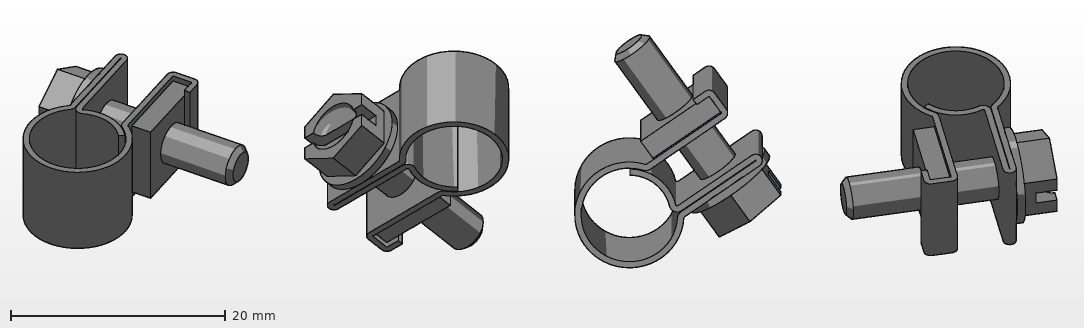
import cadquery as cq
import math


screw_length = 19.62
shank_radius = 2.0
tip_chamfer = 0.53
head_height = 3.2
head_across_flats = 7.02
flange_diameter = 9.0
flange_thickness = 0.78
slot_width = 1.24
slot_depth = 2.0
dish_radius = 2.51
dish_depth = 1.0
dish_floor_fillet = 0.8
bearing_face_x = head_height + flange_thickness

band_width = flange_diameter
band_length = 18.36
band_top_y = flange_diameter / 2
ring_outer_radius = 5.1
ring_inner_diameter = 9.0
ring_inner_radius = ring_inner_diameter / 2
band_thickness = ring_outer_radius - ring_inner_radius
ring_center_x = 7.1
ring_center_y = band_top_y - band_length + ring_outer_radius
fold_gap = 0.05
tongue_gap = 0.08
leg_bend_inner_radius = 0.15
lip_bend_inner_radius = 0.04
nut_leg_inner_x = 9.57
lip_length = 2.0
tongue_end_angle = 36.0

nut_thickness = 2.0
nut_side = 2 * (band_top_y - band_thickness)
nut_face_x = nut_leg_inner_x + band_thickness

lip_middle_x = nut_face_x + nut_thickness + band_thickness / 2


def make_screw():
    """Hexagon flange screw with a screwdriver slot and a round dish in its head."""
    head = cq.Workplane("YZ").polygon(6, head_across_flats, circumscribed=True).extrude(head_height)
    flange = (
        cq.Workplane("YZ", origin=(head_height, 0, 0))
        .circle(flange_diameter / 2)
        .extrude(flange_thickness)
    )
    shank = (
        cq.Workplane("YZ", origin=(bearing_face_x, 0, 0))
        .circle(shank_radius)
        .extrude(screw_length - bearing_face_x)
        .faces(">X")
        .chamfer(tip_chamfer)
    )
    dish = cq.Workplane("YZ").circle(dish_radius).extrude(dish_depth).faces(">X").fillet(dish_floor_fillet)
    slot = cq.Workplane("XY").box(2 * slot_depth, 2 * head_across_flats, slot_width)
    return head.union(flange).union(shank).cut(dish).cut(slot)


def polar_point(center, radius, angle):
    """Point at an angle in radians from +X around a centre."""
    return (center[0] + radius * math.cos(angle), center[1] + radius * math.sin(angle))


def leg_bend(leg_x, arc_radius, side):
    """Bend from a straight leg into an arc around the ring centre.

    The bend turns towards +X for side 1 and towards -X for side -1.
    Returns its end on the leg, its middle and its end on the arc.
    """
    bend_radius = leg_bend_inner_radius + band_thickness / 2
    bend_x = leg_x + side * bend_radius
    offset_x = bend_x - ring_center_x
    bend_y = ring_center_y + math.sqrt((arc_radius + bend_radius) ** 2 - offset_x**2)
    to_leg = math.pi if side > 0 else 0.0
    to_ring = math.atan2(ring_center_y - bend_y, ring_center_x - bend_x) % (2 * math.pi)
    if side < 0:
        to_ring -= 2 * math.pi
    angles = (to_leg, (to_leg + to_ring) / 2, to_ring)
    return [polar_point((bend_x, bend_y), bend_radius, angle) for angle in angles]


def band_path():
    """Middle line of the band, from the lip over the nut to the end of the tongue."""
    half = band_thickness / 2
    ring_center = (ring_center_x, ring_center_y)
    ring_radius = ring_outer_radius - half
    tongue_radius = ring_inner_radius - tongue_gap - half

    nut_leg_x = nut_leg_inner_x + half
    head_leg_x = bearing_face_x + half
    tongue_leg_x = head_leg_x + band_thickness + fold_gap

    top_y = band_top_y - half
    lip_bend = lip_bend_inner_radius + half
    lip_bend_y = top_y - lip_bend
    lip_bend_middle = lip_bend * (1 - math.sqrt(0.5))
    fold_radius = (tongue_leg_x - head_leg_x) / 2
    fold_x = head_leg_x + fold_radius
    fold_y = top_y - fold_radius

    nut_bend = leg_bend(nut_leg_x, ring_radius, 1)
    head_bend = leg_bend(head_leg_x, ring_radius, -1)
    tongue_bend = leg_bend(tongue_leg_x, tongue_radius, 1)

    tongue_end = math.radians(tongue_end_angle)
    tongue_start = math.atan2(tongue_bend[2][1] - ring_center_y, tongue_bend[2][0] - ring_center_x)

    return (
        cq.Workplane("XY")
        .moveTo(lip_middle_x, band_top_y - lip_length)
        .lineTo(lip_middle_x, lip_bend_y)
        .threePointArc(
            (lip_middle_x - lip_bend_middle, top_y - lip_bend_middle),
            (lip_middle_x - lip_bend, top_y),
        )
        .lineTo(nut_leg_x + lip_bend, top_y)
        .threePointArc((nut_leg_x + lip_bend_middle, top_y - lip_bend_middle), (nut_leg_x, lip_bend_y))
        .lineTo(*nut_bend[0])
        .threePointArc(nut_bend[1], nut_bend[2])
        .threePointArc((ring_center_x, ring_center_y - ring_radius), head_bend[2])
        .threePointArc(head_bend[1], head_bend[0])
        .lineTo(head_leg_x, fold_y)
        .threePointArc((fold_x, top_y), (tongue_leg_x, fold_y))
        .lineTo(*tongue_bend[0])
        .threePointArc(tongue_bend[1], tongue_bend[2])
        .threePointArc(
            polar_point(ring_center, tongue_radius, (tongue_start + tongue_end) / 2),
            polar_point(ring_center, tongue_radius, tongue_end),
        )
    )


def make_band():
    """Sheet band bent into a ring with two legs, drilled for the screw."""
    lip_end = (lip_middle_x, band_top_y - lip_length, 0)
    section = cq.Workplane("XZ", origin=lip_end).rect(band_thickness, band_width)
    screw_hole = cq.Workplane("YZ").circle(shank_radius).extrude(nut_face_x)
    return section.sweep(band_path()).cut(screw_hole)


def make_nut():
    """Square nut held between the nut-side leg and the lip, rounded to sit in the lip's bends."""
    screw_hole = cq.Workplane("YZ").circle(shank_radius).extrude(nut_face_x + nut_thickness)
    return (
        cq.Workplane("YZ", origin=(nut_face_x, 0, 0))
        .rect(nut_side, nut_side)
        .extrude(nut_thickness)
        .faces(">Y")
        .edges("|Z")
        .fillet(lip_bend_inner_radius)
        .cut(screw_hole)
    )


screw = make_screw()
band = make_band()
nut = make_nut()

result = cq.Compound.makeCompound([body.solids().val() for body in (screw, band, nut)])